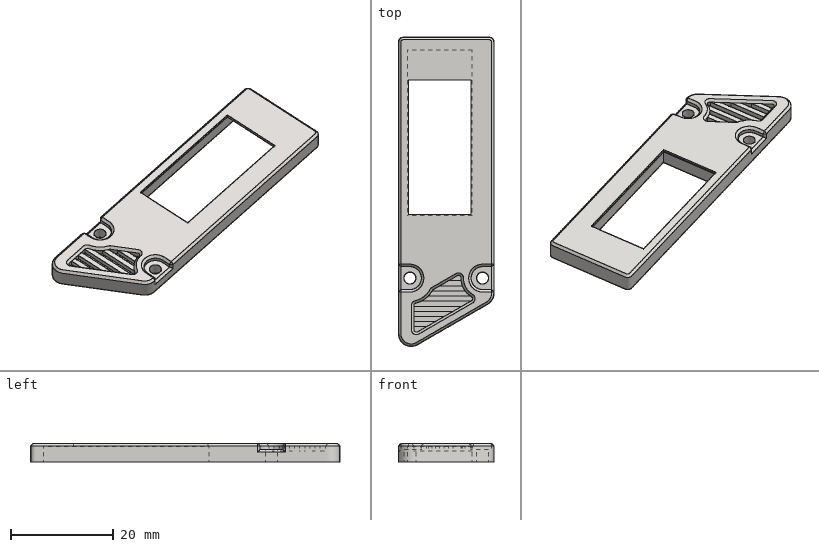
import cadquery as cq
import math

width = 18.7
length = 60.6
thickness = 3.7
edge_chamfer = 0.5
chamfer_angle = 45
end_angle = math.radians(30)
end_corner_radius = 2.5
back_corner_radius = 0.95

window_width = 12.2
window_length = 26.3
window_left = 2.0
window_back_margin = 8.4

lip_thickness = 0.6
pocket_clearance = 0.21
pocket_back_wall = 2.5

screw_diameter = 2.3
screw_inset = 2.25
screw_y = 13.4
seat_radius = 2.25
seat_depth = 1.2

recess_left = 3.0
recess_end_margin = 2.2
recess_back_height = 7.2
recess_corner_radius = 0.5
recess_depth = 1.5
left_clearance = 5.0
right_clearance = 4.25

rib_pitch = 2.0
rib_width = rib_pitch / 2
rib_count = 5
first_rib_y = 3.9

end_slope = math.tan(end_angle)
end_height = end_corner_radius * (1 - end_slope - 1 / math.cos(end_angle))
recess_end_height = end_height + recess_end_margin / math.cos(end_angle)
recess_floor = thickness - recess_depth
rib_top = thickness - edge_chamfer
rib_height = rib_top - recess_floor
seat_floor = thickness - seat_depth
left_screw = (screw_inset, screw_y)
right_screw = (width - screw_inset, screw_y)


def sloped_y(height_at_left, x):
    """Y at a given x on a line parallel to the slanted end."""
    return height_at_left + x * end_slope


def make_plate():
    outline = [
        (0, end_height),
        (width, sloped_y(end_height, width)),
        (width, length),
        (0, length),
    ]
    plate = cq.Workplane("XY").polyline(outline).close().extrude(thickness)
    plate = plate.edges("|Z").edges("<Y or >X").edges("not >Y").fillet(end_corner_radius)
    return plate.edges("|Z and >Y").fillet(back_corner_radius)


def make_seat(screw, side_x):
    """Round-ended notch from the screw out through the side at side_x."""
    x, y = screw
    floor = cq.Workplane("XY", origin=(0, 0, seat_floor))
    notch = floor.center((x + side_x) / 2, y).rect(abs(x - side_x), 2 * seat_radius).extrude(seat_depth)
    return floor.center(x, y).circle(seat_radius).extrude(seat_depth).union(notch)


def chamfer_top(plate):
    """Chamfer the top rim, following it down and across both seat openings."""
    reach = 0.05
    rim = cq.selectors.BoxSelector(
        (-reach, -reach, thickness - reach), (width + reach, length + reach, thickness + reach)
    )
    for side_x in (0, width):
        opening = cq.selectors.BoxSelector(
            (side_x - reach, screw_y - seat_radius - reach, seat_floor - reach),
            (side_x + reach, screw_y + seat_radius + reach, thickness),
        )
        rim = cq.selectors.SumSelector(rim, opening)
    return plate.edges(rim).chamfer(edge_chamfer)


def make_recess():
    """Recess volume with a flared rim, without the ribs."""
    sides = [
        (recess_left, sloped_y(recess_end_height, recess_left)),
        (right_screw[0], sloped_y(recess_end_height, right_screw[0])),
        (right_screw[0], sloped_y(recess_back_height, right_screw[0])),
        (recess_left, sloped_y(recess_back_height, recess_left)),
    ]
    profile = (
        cq.Sketch()
        .polygon(sides + sides[:1])
        .push([left_screw])
        .circle(left_clearance, mode="s")
        .reset()
        .push([right_screw])
        .circle(right_clearance, mode="s")
        .reset()
        .clean()
        .vertices()
        .fillet(recess_corner_radius)
    )
    straight = cq.Workplane("XY", origin=(0, 0, recess_floor)).placeSketch(profile).extrude(rib_height)
    rim = cq.Workplane("XY", origin=(0, 0, rib_top)).placeSketch(profile)
    return straight.union(rim.extrude(edge_chamfer, taper=-chamfer_angle))


def make_ribs():
    """Bars across the whole width, to be trimmed by the recess walls."""
    ribs = cq.Workplane("XY")
    for index in range(rib_count):
        rib = cq.Workplane("XY").box(width, rib_width, rib_height, centered=False)
        ribs = ribs.union(rib.translate((0, first_rib_y + index * rib_pitch, recess_floor)))
    return ribs


def make_window():
    """Window together with the pocket below it."""
    window_front = length - window_back_margin - window_length
    pocket_front = window_front - pocket_clearance
    window = cq.Workplane("XY").box(window_width, window_length, thickness, centered=False)
    pocket = cq.Workplane("XY").box(
        window_width + 2 * pocket_clearance,
        length - pocket_back_wall - pocket_front,
        thickness - lip_thickness,
        centered=False,
    )
    window = window.translate((window_left, window_front, 0))
    return window.union(pocket.translate((window_left - pocket_clearance, pocket_front, 0)))


def make_screw_holes():
    holes = cq.Workplane("XY").pushPoints([left_screw, right_screw])
    return holes.circle(screw_diameter / 2).extrude(thickness)


result = make_plate()
result = result.cut(make_seat(left_screw, 0)).cut(make_seat(right_screw, width))
result = chamfer_top(result)
result = result.cut(make_recess().cut(make_ribs()))
result = result.cut(make_window()).cut(make_screw_holes())